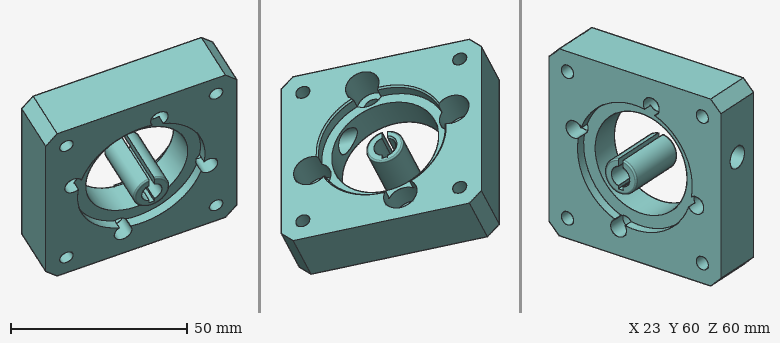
import cadquery as cq
import math

PLATE_SIZE = 60.0
PLATE_THICKNESS = 16.0
CORNER_CHAMFER = 3.6

BORE_DIAMETER = 32.0
RECESS_DIAMETER = 38.0
RECESS_DEPTH = 3.5
RECESS_CHAMFER = 0.5
REAR_RECESS_DIAMETER = 40.0
REAR_RECESS_DEPTH = 3.0

CORNER_HOLE_SPACING = 47.0
CORNER_HOLE_DIAMETER = 4.2

SCREW_COUNT = 4
SCREW_CIRCLE_RADIUS = 22.0
SCREW_CIRCLE_TURN = 15.0
SCREW_HOLE_DIAMETER = 5.5
COUNTERBORE_DIAMETER = 10.0
COUNTERBORE_DEPTH = 10.0

ACCESS_DIAMETER = 7.0
ACCESS_X = PLATE_THICKNESS / 2
ACCESS_Z = 9.0

SLEEVE_DIAMETER = 11.0
SLEEVE_BORE_DIAMETER = 6.35
SLEEVE_START = 3.0
SLEEVE_LENGTH = 20.0
SLEEVE_EDGE_RADIUS = 0.5
SLEEVE_BORE_CHAMFER = 0.5
SLIT_WIDTH = 1.6
KEYWAY_REACH = 4.1


def cylinder_x(diameter, start, length, y=0.0, z=0.0):
    """Solid cylinder along +X."""
    return (
        cq.Workplane("YZ", origin=(start, y, z))
        .circle(diameter / 2)
        .extrude(length)
    )


def cone_x(start_diameter, depth, start=0.0):
    """45 degree countersink on the X axis that narrows along +X."""
    start_radius = start_diameter / 2
    apex_side_radius = start_radius - depth
    cone = cq.Solid.makeCone(
        start_radius, apex_side_radius, depth, cq.Vector(start, 0, 0), cq.Vector(1, 0, 0)
    )
    return cq.Workplane(cone)


def make_plate():
    plate = (
        cq.Workplane("YZ")
        .rect(PLATE_SIZE, PLATE_SIZE)
        .extrude(PLATE_THICKNESS)
        .edges("|X")
        .chamfer(CORNER_CHAMFER)
    )

    plate = plate.cut(cylinder_x(BORE_DIAMETER, 0, PLATE_THICKNESS))
    plate = plate.cut(cylinder_x(RECESS_DIAMETER, 0, RECESS_DEPTH))
    plate = plate.cut(cone_x(RECESS_DIAMETER + 2 * RECESS_CHAMFER, RECESS_CHAMFER))

    rear_floor = PLATE_THICKNESS - REAR_RECESS_DEPTH
    plate = plate.cut(cylinder_x(REAR_RECESS_DIAMETER, rear_floor, REAR_RECESS_DEPTH))

    for side_y in (-1, 1):
        for side_z in (-1, 1):
            y = side_y * CORNER_HOLE_SPACING / 2
            z = side_z * CORNER_HOLE_SPACING / 2
            plate = plate.cut(cylinder_x(CORNER_HOLE_DIAMETER, 0, PLATE_THICKNESS, y, z))

    for index in range(SCREW_COUNT):
        angle = math.radians(index * 360 / SCREW_COUNT - SCREW_CIRCLE_TURN)
        y = SCREW_CIRCLE_RADIUS * math.cos(angle)
        z = SCREW_CIRCLE_RADIUS * math.sin(angle)
        plate = plate.cut(cylinder_x(SCREW_HOLE_DIAMETER, 0, PLATE_THICKNESS, y, z))
        plate = plate.cut(cylinder_x(COUNTERBORE_DIAMETER, 0, COUNTERBORE_DEPTH, y, z))

    access = (
        cq.Workplane("XZ", origin=(ACCESS_X, 0, ACCESS_Z))
        .circle(ACCESS_DIAMETER / 2)
        .extrude(-PLATE_SIZE / 2)
    )
    return plate.cut(access)


def make_sleeve():
    sleeve = cylinder_x(SLEEVE_DIAMETER, SLEEVE_START, SLEEVE_LENGTH)
    sleeve = sleeve.edges("%CIRCLE").fillet(SLEEVE_EDGE_RADIUS)
    sleeve = sleeve.cut(cylinder_x(SLEEVE_BORE_DIAMETER, SLEEVE_START, SLEEVE_LENGTH))

    bore_chamfer = cone_x(
        SLEEVE_BORE_DIAMETER + 2 * SLEEVE_BORE_CHAMFER, SLEEVE_BORE_CHAMFER, start=SLEEVE_START
    )
    minus_y_half = cq.Workplane().box(
        SLEEVE_LENGTH, SLEEVE_DIAMETER, SLEEVE_DIAMETER, centered=(False, False, True)
    ).translate((SLEEVE_START, -SLEEVE_DIAMETER, 0))
    sleeve = sleeve.cut(bore_chamfer.intersect(minus_y_half))

    slot_height = KEYWAY_REACH + SLEEVE_DIAMETER / 2
    slot = cq.Workplane().box(
        SLEEVE_LENGTH, SLIT_WIDTH, slot_height, centered=(False, True, False)
    ).translate((SLEEVE_START, 0, -KEYWAY_REACH))
    return sleeve.cut(slot)


plate = make_plate()
sleeve = make_sleeve()

result = cq.Compound.makeCompound([plate.val(), sleeve.val()])